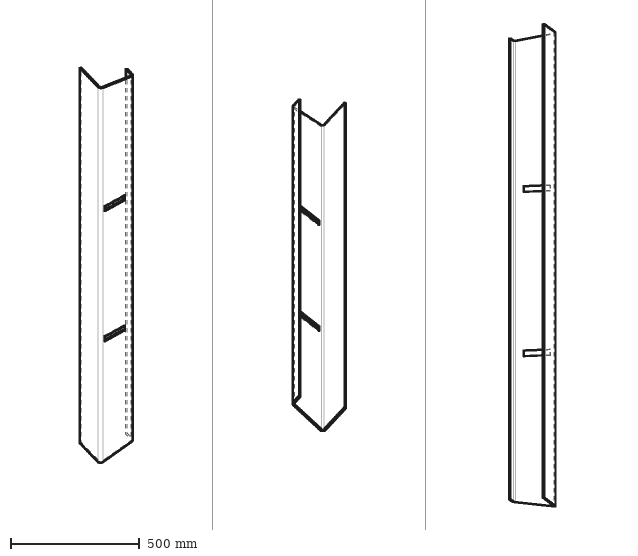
import cadquery as cq
import math

length = 1898.0
width = 148.0
depth = 170.0

thickness = 6.6
inner_radius = 6.0
outer_radius = inner_radius + thickness
web_lean = math.radians(9)
narrow_flange_start = 74.0

end_drop = 27.0

slot_depth_size = 102.0
slot_height = 23.0
slot_front_offset = 25.0
slot_spacing = 659.0

front = -depth / 2
back = depth / 2
left = -width / 2
right = width / 2

corner_center_x = right - outer_radius
corner_center_y = front + outer_radius
web_normal_x = math.cos(web_lean)
web_normal_y = math.sin(web_lean)


def web_face_x(y, offset):
    """X on a plane parallel to the web, offset outward from the front bend axis."""
    return corner_center_x + (offset - (y - corner_center_y) * web_normal_y) / web_normal_x


back_center_y = back - outer_radius
back_center = (web_face_x(back_center_y, 0), back_center_y)
front_center = (corner_center_x, corner_center_y)


def bend_point(center, radius, angle):
    return (center[0] + radius * math.cos(angle), center[1] + radius * math.sin(angle))


def make_channel():
    down = -math.pi / 2
    up = math.pi / 2
    front_middle = (down + web_lean) / 2
    back_middle = (up + web_lean) / 2
    narrow_left = left + narrow_flange_start
    return (
        cq.Workplane("XY", origin=(0, 0, -length / 2))
        .moveTo(left, front)
        .lineTo(*bend_point(front_center, outer_radius, down))
        .threePointArc(
            bend_point(front_center, outer_radius, front_middle),
            bend_point(front_center, outer_radius, web_lean),
        )
        .lineTo(*bend_point(back_center, outer_radius, web_lean))
        .threePointArc(
            bend_point(back_center, outer_radius, back_middle),
            bend_point(back_center, outer_radius, up),
        )
        .lineTo(narrow_left, back)
        .lineTo(narrow_left, back - thickness)
        .lineTo(*bend_point(back_center, inner_radius, up))
        .threePointArc(
            bend_point(back_center, inner_radius, back_middle),
            bend_point(back_center, inner_radius, web_lean),
        )
        .lineTo(*bend_point(front_center, inner_radius, web_lean))
        .threePointArc(
            bend_point(front_center, inner_radius, front_middle),
            bend_point(front_center, inner_radius, down),
        )
        .lineTo(left, front + thickness)
        .close()
        .extrude(length)
    )


def make_end_envelope():
    """Solid with sloping ends that trims the channel."""
    half_length = length / 2
    return (
        cq.Workplane("YZ")
        .polyline([
            (front, -half_length),
            (back, -half_length + end_drop),
            (back, half_length - end_drop),
            (front, half_length),
        ])
        .close()
        .extrude(width, both=True)
    )


def make_slots():
    slot_center_y = front + slot_front_offset + slot_depth_size / 2
    return (
        cq.Workplane("YZ")
        .pushPoints([(slot_center_y, side * slot_spacing / 2) for side in (-1, 1)])
        .rect(slot_depth_size, slot_height)
        .extrude(width, both=True)
    )


result = make_channel().intersect(make_end_envelope()).cut(make_slots())